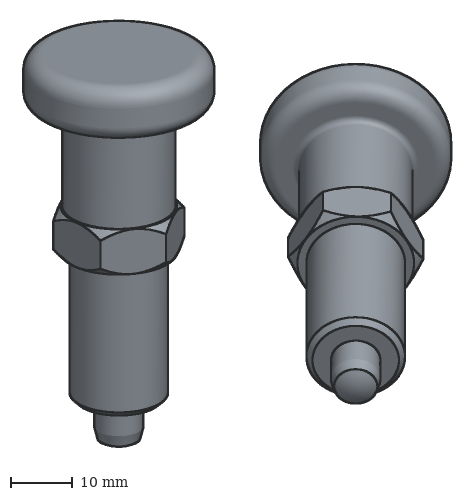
import cadquery as cq
import math

HEX_ACROSS_FLATS = 19.0
HEX_HEIGHT = 8.0
HEX_FACE_RADIUS = 9.45

SLEEVE_RADIUS = 8.0
SLEEVE_LENGTH = 26.0
SLEEVE_CHAMFER = 1.0

PIN_RADIUS = 4.0
PIN_STRAIGHT_LENGTH = 5.0
PIN_NOSE_LENGTH = 2.0
PIN_NOSE_END_RADIUS = 3.5
PIN_DOME_HEIGHT = 1.0

NECK_RADIUS = 9.2
NECK_LENGTH = 18.0
NECK_FILLET = 1.0
KNOB_RADIUS = 15.5
KNOB_HEIGHT = 9.0
KNOB_TOP_FILLET = 3.0
KNOB_BOTTOM_FILLET = 2.5

HEX_CORNER_RADIUS = HEX_ACROSS_FLATS / 2 / math.cos(math.pi / 6)
SLEEVE_BOTTOM = -SLEEVE_LENGTH
NOSE_TOP = SLEEVE_BOTTOM - PIN_STRAIGHT_LENGTH
NOSE_BOTTOM = NOSE_TOP - PIN_NOSE_LENGTH
PIN_BOTTOM = NOSE_BOTTOM - PIN_DOME_HEIGHT
KNOB_BOTTOM = HEX_HEIGHT + NECK_LENGTH
KNOB_TOP = KNOB_BOTTOM + KNOB_HEIGHT


def revolve_about_z(profile):
    """Turn a closed half profile, drawn as (radius, height), about the Z axis."""
    return profile.close().revolve(360, (0, 0, 0), (0, 1, 0))


def make_hex_collar():
    """Hexagon with 45 degree turned chamfers on its top and bottom corners."""
    prism = cq.Workplane("XY").polygon(6, 2 * HEX_CORNER_RADIUS).extrude(HEX_HEIGHT)
    chamfer = HEX_CORNER_RADIUS - HEX_FACE_RADIUS
    turned_blank = revolve_about_z(
        cq.Workplane("XZ")
        .moveTo(0, 0)
        .lineTo(HEX_FACE_RADIUS, 0)
        .lineTo(HEX_CORNER_RADIUS, chamfer)
        .lineTo(HEX_CORNER_RADIUS, HEX_HEIGHT - chamfer)
        .lineTo(HEX_FACE_RADIUS, HEX_HEIGHT)
        .lineTo(0, HEX_HEIGHT)
    )
    return prism.intersect(turned_blank)


def make_sleeve():
    """Round sleeve with a chamfered lower rim."""
    sleeve = cq.Workplane("XY").circle(SLEEVE_RADIUS).extrude(-SLEEVE_LENGTH)
    return sleeve.faces("<Z").chamfer(SLEEVE_CHAMFER)


def make_pin_tip():
    """Pin end with a slightly tapered nose and a shallow dome."""
    dome_radius = (PIN_NOSE_END_RADIUS**2 + PIN_DOME_HEIGHT**2) / (2 * PIN_DOME_HEIGHT)
    return revolve_about_z(
        cq.Workplane("XZ")
        .moveTo(0, SLEEVE_BOTTOM)
        .lineTo(PIN_RADIUS, SLEEVE_BOTTOM)
        .lineTo(PIN_RADIUS, NOSE_TOP)
        .lineTo(PIN_NOSE_END_RADIUS, NOSE_BOTTOM)
        .radiusArc((0, PIN_BOTTOM), dome_radius)
    )


def make_plunger_body():
    """Collar, sleeve and pin tip as one solid."""
    return make_hex_collar().union(make_sleeve()).union(make_pin_tip())


def make_knob():
    """Round pull knob whose neck stands on the hexagonal collar."""
    return revolve_about_z(
        cq.Workplane("XZ")
        .moveTo(0, HEX_HEIGHT)
        .lineTo(NECK_RADIUS, HEX_HEIGHT)
        .lineTo(NECK_RADIUS, KNOB_BOTTOM - NECK_FILLET)
        .radiusArc((NECK_RADIUS + NECK_FILLET, KNOB_BOTTOM), NECK_FILLET)
        .lineTo(KNOB_RADIUS - KNOB_BOTTOM_FILLET, KNOB_BOTTOM)
        .radiusArc((KNOB_RADIUS, KNOB_BOTTOM + KNOB_BOTTOM_FILLET), -KNOB_BOTTOM_FILLET)
        .lineTo(KNOB_RADIUS, KNOB_TOP - KNOB_TOP_FILLET)
        .radiusArc((KNOB_RADIUS - KNOB_TOP_FILLET, KNOB_TOP), -KNOB_TOP_FILLET)
        .lineTo(0, KNOB_TOP)
    )


plunger_body = make_plunger_body()
knob = make_knob()

result = cq.Compound.makeCompound([plunger_body.val(), knob.val()])